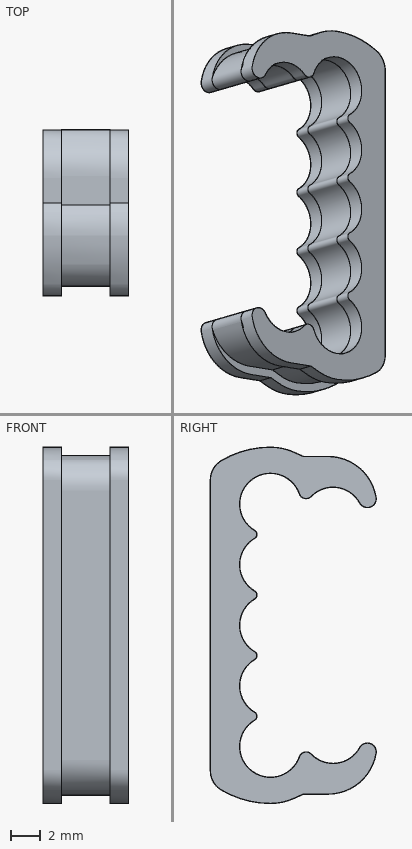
import cadquery as cq
import math


total_width = 5.72
flange_width = 1.25
core_width = total_width - 2 * flange_width

half_height = 11.92
depth = 11.1
seat_pitch = 4.05
seat_radius = 2.05
seat_count = 5
back_wall = 1.98
tooth_tip_radius = 0.3
hook_seat_center = (8.22, 7.18)
hook_nose_radius = 0.48
tip_radius = 0.6
tip_center_z = 8.46

seat_y = back_wall + seat_radius
end_seat_z = (seat_count - 1) / 2 * seat_pitch
end_seat = (seat_y, end_seat_z)
tip_center = (depth - tip_radius, tip_center_z)

flange_back_y = 0.0
flange_corner_z = 9.7
flange_shoulder_radius = 6.44
flange_flat_z = 11.3
flange_kink_y = 6.22
flange_hook_y = 7.87

core_back_y = 0.65
core_top_z = 11.37
core_corner_z = 9.0
core_shoulder_radius = 5.9
core_flat_z = 10.75
core_kink_y = 6.08
core_hook_y = 7.99


def toward(start, target, distance):
    """Point at a distance from start, in the direction of target."""
    scale = distance / math.dist(start, target)
    return (start[0] + scale * (target[0] - start[0]), start[1] + scale * (target[1] - start[1]))


def midpoint_of_arc(center, radius, start, end):
    """Middle of the shorter arc from start to end."""
    chord_middle = ((start[0] + end[0]) / 2, (start[1] + end[1]) / 2)
    return toward(center, chord_middle, radius)


def mirrored(point):
    return (point[0], -point[1])


def nose_center(first, second, nose_radius):
    """Center of a nose touching two seats from outside, to the left of first -> second."""
    half_span = math.dist(first, second) / 2
    rise = math.sqrt((seat_radius + nose_radius) ** 2 - half_span**2)
    middle = toward(first, second, half_span)
    left = (first[0] - (second[1] - first[1]), first[1] + (second[0] - first[0]))
    unit = toward((0, 0), (left[0] - first[0], left[1] - first[1]), 1)
    return (middle[0] + rise * unit[0], middle[1] + rise * unit[1])


def outer_arcs(back_y, top_z, corner_z, shoulder_radius, flat_z, kink_y, hook_y):
    """Start point on the back face, and pieces of the upper outer outline to the hook tip.

    Each piece is (middle, end). A middle of None marks a straight line.
    """
    shoulder = (seat_y, top_z - shoulder_radius)
    across = seat_y - back_y
    drop = corner_z - shoulder[1]
    corner_radius = (shoulder_radius**2 - across**2 - drop**2) / (2 * (shoulder_radius - across))
    corner = (back_y + corner_radius, corner_z)
    corner_start = (back_y, corner_z)
    corner_end = toward(shoulder, corner, shoulder_radius)
    crown_top = (seat_y, top_z)

    crown_radius = top_z - end_seat_z
    kink = (kink_y, flat_z)
    kink_angle = math.atan2(kink[1] - end_seat[1], kink[0] - end_seat[0])
    tangent_angle = kink_angle + math.acos(crown_radius / math.dist(end_seat, kink))
    crown_end = (
        end_seat[0] + crown_radius * math.cos(tangent_angle),
        end_seat[1] + crown_radius * math.sin(tangent_angle),
    )

    reach = tip_center[0] - hook_y
    tip_drop = flat_z - tip_center[1]
    hook_radius = (reach**2 + tip_drop**2 - tip_radius**2) / (2 * (tip_drop - tip_radius))
    hook = (hook_y, flat_z - hook_radius)
    hook_start = (hook_y, flat_z)
    hook_end = toward(hook, tip_center, hook_radius)

    pieces = [
        (midpoint_of_arc(corner, corner_radius, corner_start, corner_end), corner_end),
        (midpoint_of_arc(shoulder, shoulder_radius, corner_end, crown_top), crown_top),
        (midpoint_of_arc(end_seat, crown_radius, crown_top, crown_end), crown_end),
        (None, kink),
        (None, hook_start),
        (midpoint_of_arc(hook, hook_radius, hook_start, hook_end), hook_end),
    ]
    return corner_start, pieces


def hook_inner_arcs():
    """Pieces from the outer side of the hook tip to the start of the end seat."""
    far_side = (tip_center[0] + tip_radius, tip_center[1])
    tip_end = toward(tip_center, hook_seat_center, tip_radius)
    tip_bottom = (tip_center[0], tip_center[1] - tip_radius)
    nose = nose_center(end_seat, hook_seat_center, hook_nose_radius)
    nose_start = toward(nose, hook_seat_center, hook_nose_radius)
    nose_end = toward(nose, end_seat, hook_nose_radius)
    return [
        (far_side, tip_bottom),
        (midpoint_of_arc(tip_center, tip_radius, tip_bottom, tip_end), tip_end),
        (midpoint_of_arc(hook_seat_center, seat_radius, tip_end, nose_start), nose_start),
        (midpoint_of_arc(nose, hook_nose_radius, nose_start, nose_end), nose_end),
    ]


def seat_arcs():
    """Pieces down the row of seats and teeth, ending at the lower hook nose."""
    upper_nose = nose_center(end_seat, hook_seat_center, hook_nose_radius)
    pieces = []
    for index in range(seat_count):
        seat = (seat_y, end_seat_z - index * seat_pitch)
        seat_bottom = (seat_y - seat_radius, seat[1])
        if index == seat_count - 1:
            pieces.append((seat_bottom, toward(seat, mirrored(upper_nose), seat_radius)))
            continue
        next_seat = (seat_y, seat[1] - seat_pitch)
        tooth = nose_center(next_seat, seat, tooth_tip_radius)
        tooth_start = toward(tooth, seat, tooth_tip_radius)
        tooth_end = toward(tooth, next_seat, tooth_tip_radius)
        tooth_tip = (tooth[0] + tooth_tip_radius, tooth[1])
        pieces.append((seat_bottom, tooth_start))
        pieces.append((tooth_tip, tooth_end))
    return pieces


def mirrored_return(start, pieces):
    """The given pieces mirrored in Z = 0 and traced backward to the mirrored start."""
    starts = [start] + [end for _, end in pieces[:-1]]
    backward = []
    for (middle, _), piece_start in zip(reversed(pieces), reversed(starts)):
        backward.append((middle and mirrored(middle), mirrored(piece_start)))
    return backward


def plate(left_x, width, outer):
    """Solid plate with the given upper outer outline and the common inner outline."""
    start, outer_pieces = outer
    upper = outer_pieces + hook_inner_arcs()
    outline = cq.Workplane("YZ", origin=(left_x, 0, 0)).moveTo(*start)
    for middle, end in upper + seat_arcs() + mirrored_return(start, upper):
        if middle is None:
            outline = outline.lineTo(*end)
        else:
            outline = outline.threePointArc(middle, end)
    return outline.close().extrude(width)


def make_flange(left_x):
    outer = outer_arcs(
        flange_back_y,
        half_height,
        flange_corner_z,
        flange_shoulder_radius,
        flange_flat_z,
        flange_kink_y,
        flange_hook_y,
    )
    return plate(left_x, flange_width, outer)


def make_core():
    outer = outer_arcs(
        core_back_y,
        core_top_z,
        core_corner_z,
        core_shoulder_radius,
        core_flat_z,
        core_kink_y,
        core_hook_y,
    )
    return plate(-core_width / 2, core_width, outer)


core = make_core()
flanges = [make_flange(left_x).val() for left_x in (-total_width / 2, core_width / 2)]

result = cq.Compound.makeCompound([core.val(), *flanges])